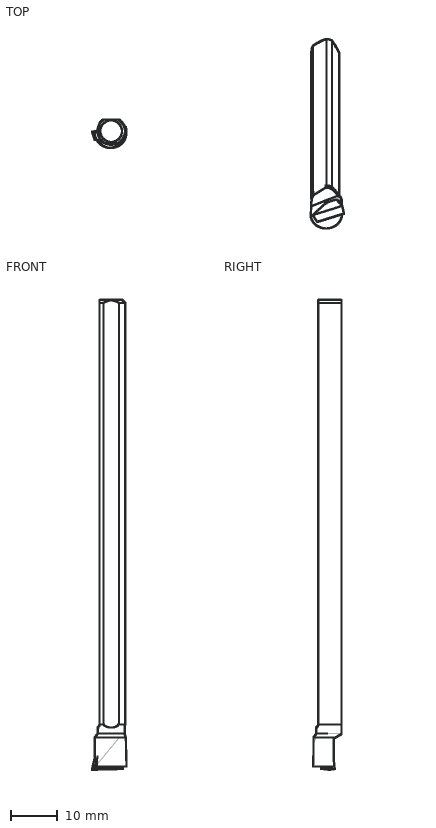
import cadquery as cq
import math

LENGTH = 101.1
SHANK_RADIUS = 3.0
FLAT_DISTANCE = 2.5
FLAT_END_Z = 9.7
FLAT_END_SAG = 0.6
TOP_CHAMFER = 0.7

NECK_RADIUS = 2.9
FLARE_TOP_Z = 7.8
HEAD_TOP_Z = 7.0
HEAD_BOTTOM_Z = 0.7
HEAD_RADIUS = 3.3
HEAD_X = -0.2
HEAD_Y = -0.2
CONE_SHIFT = 0.1
CONE_TAPER = 0.025
CONE_MATCH_Z = 4.7

TIP_X = -4.1
TIP_Y = -0.1
INSERT_SIDE = 6.8
INSERT_THICKNESS = 1.9
TIP_ANGLE = 75.0
FAR_ANGLE = 60.0
INSERT_HEIGHT = 5.1
INSERT_CLEARANCE = 7.0
FACE_TILT = 10.0
EDGE_RISE = 1.5

GULLET_SETBACK = 0.3
GULLET_LEFT_Z = 8.7
GULLET_RIGHT_Z = 6.5
GULLET_FLARE = 20.0
MARGIN = 2.0


def rake_plane(setback=0.0):
    """Plane through the insert tip; local x runs along the face, local y is up, normal faces +Y."""
    tilt = math.radians(FACE_TILT)
    along = (math.cos(tilt), math.sin(tilt), 0)
    outward = (-math.sin(tilt), math.cos(tilt), 0)
    origin = (TIP_X - setback * outward[0], TIP_Y - setback * outward[1], 0)
    return cq.Plane(origin=origin, xDir=tuple(-a for a in along), normal=outward)


def shank():
    bar = (
        cq.Workplane("XY").workplane(offset=FLAT_END_Z)
        .circle(SHANK_RADIUS).extrude(LENGTH - FLAT_END_Z)
        .faces(">Z").chamfer(TOP_CHAMFER)
    )
    neck = (
        cq.Workplane("XY").workplane(offset=FLARE_TOP_Z)
        .circle(NECK_RADIUS).extrude(FLAT_END_Z - FLARE_TOP_Z)
    )
    body = bar.union(neck)
    half_width = math.sqrt(SHANK_RADIUS**2 - FLAT_DISTANCE**2)
    flat_cutter = (
        cq.Workplane("XZ").workplane(offset=FLAT_DISTANCE)
        .moveTo(-half_width, FLAT_END_Z)
        .threePointArc((0, FLAT_END_Z - FLAT_END_SAG), (half_width, FLAT_END_Z))
        .lineTo(half_width, LENGTH + MARGIN)
        .lineTo(-half_width, LENGTH + MARGIN)
        .close().extrude(MARGIN)
    )
    for angle in (0, 180, -90):
        body = body.cut(flat_cutter.rotate((0, 0, 0), (0, 0, 1), angle))
    return body


def lower_flat():
    """Cutter that carries the +Y flat down over the neck and flare."""
    return (
        cq.Workplane("XY")
        .box(2 * SHANK_RADIUS, MARGIN, FLAT_END_Z, centered=(True, False, False))
        .translate((0, FLAT_DISTANCE, 0))
    )


def head():
    flare = (
        cq.Workplane("XY").workplane(offset=FLARE_TOP_Z).circle(NECK_RADIUS)
        .workplane(offset=HEAD_TOP_Z - FLARE_TOP_Z).center(HEAD_X, HEAD_Y).circle(HEAD_RADIUS)
        .loft(ruled=True)
    )
    barrel = (
        cq.Workplane("XY").workplane(offset=HEAD_BOTTOM_Z).center(HEAD_X, HEAD_Y)
        .circle(HEAD_RADIUS).extrude(HEAD_TOP_Z - HEAD_BOTTOM_Z)
    )
    cone_top_radius = HEAD_RADIUS - CONE_TAPER * (HEAD_TOP_Z - CONE_MATCH_Z)
    cone_bottom_radius = HEAD_RADIUS + CONE_TAPER * (CONE_MATCH_Z - HEAD_BOTTOM_Z)
    cone = (
        cq.Workplane("XY").workplane(offset=HEAD_BOTTOM_Z).center(HEAD_X + CONE_SHIFT, HEAD_Y)
        .circle(cone_bottom_radius)
        .workplane(offset=HEAD_TOP_Z - HEAD_BOTTOM_Z).circle(cone_top_radius)
        .loft(ruled=True)
    )
    return flare.union(barrel).union(cone)


def chip_gullet():
    reach = 2 * HEAD_RADIUS + MARGIN
    return (
        cq.Workplane(rake_plane(GULLET_SETBACK))
        .polyline([
            (MARGIN, -MARGIN), (MARGIN, GULLET_LEFT_Z),
            (-reach, GULLET_RIGHT_Z), (-reach, -MARGIN),
        ])
        .close().extrude(2 * SHANK_RADIUS, taper=-GULLET_FLARE)
    )


def make_insert():
    tip_inset = INSERT_HEIGHT / math.tan(math.radians(TIP_ANGLE))
    far_inset = INSERT_HEIGHT / math.tan(math.radians(FAR_ANGLE))
    return (
        cq.Workplane(rake_plane().rotated((0, 0, -EDGE_RISE)))
        .polyline([
            (0, 0), (-INSERT_SIDE, 0),
            (far_inset - INSERT_SIDE, INSERT_HEIGHT), (-tip_inset, INSERT_HEIGHT),
        ])
        .close().extrude(-INSERT_THICKNESS, taper=INSERT_CLEARANCE)
    )


insert = make_insert()
holder = shank().union(head()).cut(lower_flat()).cut(chip_gullet()).cut(insert)

result = cq.Compound.makeCompound([holder.solids().val(), insert.val()])